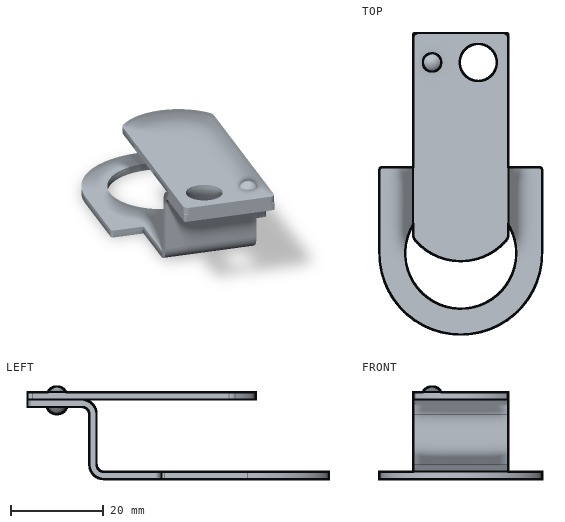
import cadquery as cq
import math

total_length = 65.4
base_width = 35.3
strap_width = 20.65
sheet = 1.65
cover_thickness = 1.65
bracket_height = 17.25
total_height = 20.15
bend_inner_radius = 1.6
flange_length = 13.4
base_setback = 29.1
bracket_corner_radius = 0.6

cover_length = 49.5
cover_nose_radius = 13.0
cover_corner_radius = 1.2
nose_corner_radius = 1.95

ring_bore_diameter = 24.0
hole_diameter = 8.0
hole_x = 3.8
rivet_x = -6.2
hole_setback = 6.4

shank_diameter = 2.5
top_head_diameter = 4.0
bottom_head_diameter = 4.45
bottom_head_height = 1.6

back_y = total_length / 2
shoulder_y = back_y - base_setback
ring_y = -total_length / 2 + base_width / 2
hole_y = back_y - hole_setback
upright_rear_y = back_y - flange_length
upright_front_y = upright_rear_y - sheet
flange_bottom = bracket_height - sheet
cover_top = bracket_height + cover_thickness
top_head_height = total_height - cover_top
bend_outer_radius = bend_inner_radius + sheet


def vertical_hole(x, y, diameter):
    """Cylinder tall enough to cut through every sheet at (x, y)."""
    return cq.Workplane("XY").center(x, y).circle(diameter / 2).extrude(total_height)


def make_strap():
    """Z-shaped strip: rear flange, upright and foot joined by round bends."""
    profile = (
        cq.Workplane("YZ")
        .moveTo(back_y, bracket_height)
        .lineTo(upright_front_y + bend_outer_radius, bracket_height)
        .radiusArc((upright_front_y, bracket_height - bend_outer_radius), -bend_outer_radius)
        .lineTo(upright_front_y, sheet + bend_inner_radius)
        .radiusArc((upright_front_y - bend_inner_radius, sheet), bend_inner_radius)
        .lineTo(shoulder_y, sheet)
        .lineTo(shoulder_y, 0)
        .lineTo(upright_rear_y - bend_outer_radius, 0)
        .radiusArc((upright_rear_y, bend_outer_radius), -bend_outer_radius)
        .lineTo(upright_rear_y, flange_bottom - bend_inner_radius)
        .radiusArc((upright_rear_y + bend_inner_radius, flange_bottom), bend_inner_radius)
        .lineTo(back_y, flange_bottom)
        .close()
    )
    strap = profile.extrude(strap_width / 2, both=True)
    return strap.edges("|Z and >Y").fillet(bracket_corner_radius)


def make_base():
    """Flat base with square shoulders and a semicircular front."""
    half_width = base_width / 2
    base = (
        cq.Workplane("XY")
        .moveTo(-half_width, shoulder_y)
        .lineTo(half_width, shoulder_y)
        .lineTo(half_width, ring_y)
        .threePointArc((0, ring_y - half_width), (-half_width, ring_y))
        .close()
        .extrude(sheet)
    )
    return base.edges("|Z and >Y").fillet(bracket_corner_radius)


def make_bracket():
    bracket = make_base().union(make_strap())
    bracket = bracket.cut(vertical_hole(0, ring_y, ring_bore_diameter))
    bracket = bracket.cut(vertical_hole(hole_x, hole_y, hole_diameter))
    return bracket.cut(vertical_hole(rivet_x, hole_y, shank_diameter))


def make_cover():
    """Flat plate with an arched nose, resting on the rear flange."""
    half_width = strap_width / 2
    nose_y = back_y - cover_length
    nose_depth = cover_nose_radius - math.sqrt(cover_nose_radius**2 - half_width**2)
    cover = (
        cq.Workplane("XY", origin=(0, 0, bracket_height))
        .moveTo(-half_width, back_y)
        .lineTo(half_width, back_y)
        .lineTo(half_width, nose_y + nose_depth)
        .threePointArc((0, nose_y), (-half_width, nose_y + nose_depth))
        .close()
        .extrude(cover_thickness)
    )
    cover = cover.edges("|Z and >Y").fillet(cover_corner_radius)
    cover = cover.edges("|Z and (<X or >X)").edges("<Y").fillet(nose_corner_radius)
    cover = cover.cut(vertical_hole(hole_x, hole_y, hole_diameter))
    return cover.cut(vertical_hole(rivet_x, hole_y, shank_diameter))


def dome_bulge(head_radius, head_height, share=math.sqrt(0.5)):
    """Point on a spherical cap part-way out: radius and rise above the cap's base."""
    sphere_radius = (head_radius**2 + head_height**2) / (2 * head_height)
    radius = head_radius * share
    return radius, math.sqrt(sphere_radius**2 - radius**2) - sphere_radius + head_height


def make_rivet():
    """Shank through both sheets with a domed head at each end, revolved about its axis."""
    shank_radius = shank_diameter / 2
    top_radius = top_head_diameter / 2
    bottom_radius = bottom_head_diameter / 2
    top_bulge_radius, top_rise = dome_bulge(top_radius, top_head_height)
    bottom_bulge_radius, bottom_rise = dome_bulge(bottom_radius, bottom_head_height)
    return (
        cq.Workplane("XZ", origin=(rivet_x, hole_y, 0))
        .moveTo(0, flange_bottom - bottom_head_height)
        .threePointArc((bottom_bulge_radius, flange_bottom - bottom_rise), (bottom_radius, flange_bottom))
        .lineTo(shank_radius, flange_bottom)
        .lineTo(shank_radius, cover_top)
        .lineTo(top_radius, cover_top)
        .threePointArc((top_bulge_radius, cover_top + top_rise), (0, total_height))
        .close()
        .revolve(360, (0, 0), (0, 1))
    )


bracket = make_bracket()
cover = make_cover()
rivet = make_rivet()

result = cq.Compound.makeCompound([bracket.val(), cover.val(), rivet.val()])